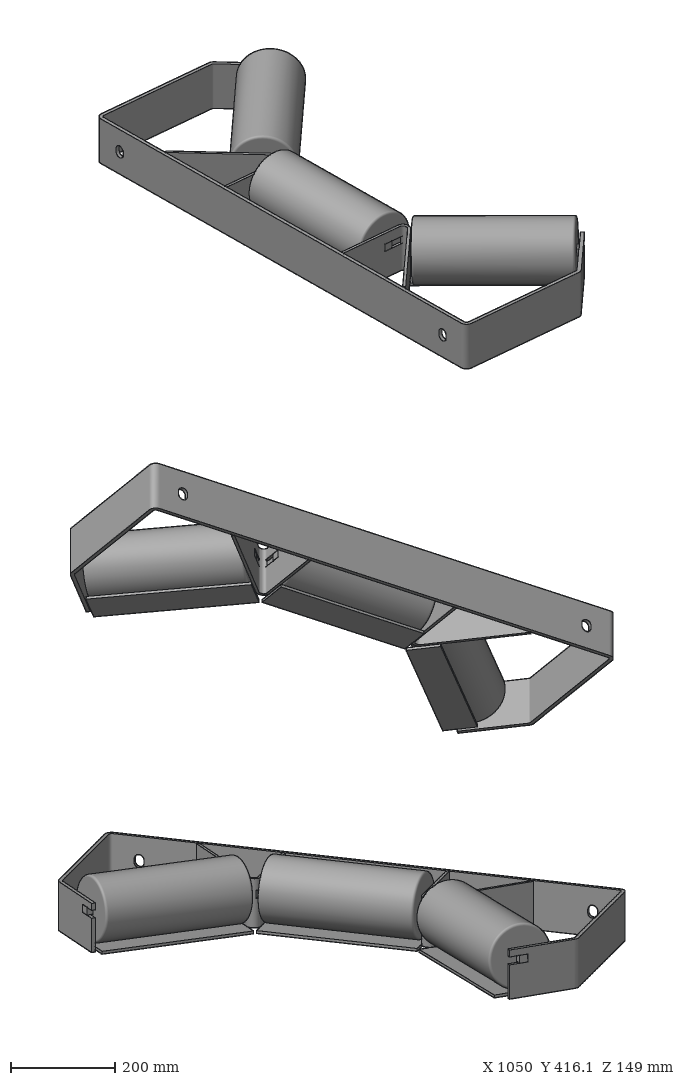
import cadquery as cq
import math

frame_length = 1050.0
bar_height = 100.0
frame_thickness = 8.0
frame_bend_radius = 10.0
frame_side_height = 298.5
flange_reach = 103.0
hole_x = 458.0
hole_width = 20.0
hole_height = 26.0

roller_diameter = 133.0
roller_length = 315.0
roller_end_radius = 5.0
end_clearance = 5.0
half_span = roller_length / 2 + end_clearance
journal_width = 18.0
journal_height = 16.0
seat_cutter_depth = 100.0
centre_roller_y = 125.0
side_roller_x = 322.5
side_roller_y = 259.8
trough_angle = 45.0
side_tilt_angle = 1.71
inner_axis_z = 68.0
side_roller_z = inner_axis_z + roller_length / 2 * math.sin(math.radians(side_tilt_angle))

bracket_thickness = 6.0
bracket_bend_radius = 10.0
bracket_top_y = 168.5

plate_end_gap = 0.25
plate_length = 2 * (half_span - plate_end_gap)
plate_width = 68.0
plate_front_overhang = 10.0
plate_thickness = 6.0
plate_gap = 0.65

LEFT = -1
RIGHT = 1
SIDES = (LEFT, RIGHT)
diagonal = math.cos(math.radians(trough_angle))


def place_centre(shape):
    """Move a shape built along X about the origin onto the axis of the centre roller."""
    return shape.translate((0, centre_roller_y, inner_axis_z))


def place_side(shape, side):
    """Move a shape built along X about the origin onto the axis of a side roller."""
    tilted = shape.rotate((0, 0, 0), (0, 1, 0), -side * side_tilt_angle)
    troughed = tilted.rotate((0, 0, 0), (0, 0, 1), side * trough_angle)
    return troughed.translate((side * side_roller_x, side_roller_y, side_roller_z))


def make_strip(bend_points, thickness, bend_radius):
    """A flat bar on edge, resting on Z = 0, whose centreline follows the bend points, with rounded bends."""
    corners = [cq.Vector(*point) for point in bend_points]
    wire = cq.Wire.makePolygon(corners)
    path = wire.fillet(bend_radius, wire.Vertices()[1:-1])
    start_plane = cq.Plane(corners[0], xDir=(0, 0, 1), normal=corners[1] - corners[0])
    profile = cq.Workplane(start_plane).center(bar_height / 2, 0).rect(bar_height, thickness)
    return profile.sweep(cq.Workplane(path))


def make_journal(half_length):
    """A rectangular shaft along X through the roller centre."""
    return cq.Workplane("XY").box(2 * half_length, journal_width, journal_height)


def make_seat_cutter(half_length):
    """The cutter for journal seats that are open towards +Y."""
    seat = cq.Workplane("XY").box(2 * half_length, seat_cutter_depth, journal_height)
    return seat.translate((0, (seat_cutter_depth - journal_width) / 2, 0))


def make_frame():
    inset = frame_thickness / 2
    half_length = frame_length / 2
    bend_x = half_length - inset
    bend_y = frame_side_height - inset * math.tan(math.radians(trough_angle / 2))
    tip_x = half_length - flange_reach - inset * diagonal
    tip_y = frame_side_height + flange_reach - inset * diagonal
    right_half = [(bend_x, inset), (bend_x, bend_y), (tip_x, tip_y)]
    left_half = [(-x, y) for x, y in reversed(right_half)]
    frame = make_strip(left_half + right_half, frame_thickness, frame_bend_radius)
    holes = (
        cq.Workplane("XZ")
        .pushPoints([(side * hole_x, bar_height / 2) for side in SIDES])
        .slot2D(hole_height, hole_width, 90)
        .extrude(-2 * frame_thickness)
    )
    frame = frame.cut(holes)
    for side in SIDES:
        frame = frame.cut(place_side(make_seat_cutter(half_span + 2 * frame_thickness), side))
    return frame


def make_bracket(side):
    inset = bracket_thickness / 2
    post_x = half_span + inset
    top_y = bracket_top_y - inset
    leg_sum = side_roller_x + side_roller_y - (half_span + inset) / diagonal
    foot_y = frame_thickness + inset * diagonal
    bend_points = [
        (side * post_x, frame_thickness),
        (side * post_x, top_y),
        (side * (leg_sum - top_y), top_y),
        (side * (leg_sum - foot_y), foot_y),
    ]
    bracket = make_strip(bend_points, bracket_thickness, bracket_bend_radius)
    seat_half_length = half_span + bracket_thickness
    bracket = bracket.cut(place_centre(make_seat_cutter(seat_half_length)))
    return bracket.cut(place_side(make_seat_cutter(seat_half_length), side))


def make_roller(inner_reach, outer_reach):
    """A roller along X with journals, running from -inner_reach to +outer_reach."""
    drum = (
        cq.Workplane("YZ")
        .circle(roller_diameter / 2)
        .extrude(roller_length)
        .translate((-roller_length / 2, 0, 0))
        .edges("%CIRCLE")
        .fillet(roller_end_radius)
    )
    journal_centre = (outer_reach - inner_reach) / 2
    return drum.union(make_journal((inner_reach + outer_reach) / 2).translate((journal_centre, 0, 0)))


def make_plate():
    """A guard plate along X, placed below a roller whose axis runs through the origin."""
    top = -roller_diameter / 2 - plate_gap
    plate = cq.Workplane("XY").box(plate_length, plate_width, plate_thickness)
    return plate.translate((0, plate_width / 2 - plate_front_overhang, top - plate_thickness / 2))


def make_side_plate(side):
    """A guard plate shifted along its tilted roller to stay between the upright supports."""
    drop = roller_diameter / 2 + plate_gap + plate_thickness / 2
    shift = drop * math.tan(math.radians(side_tilt_angle))
    return place_side(make_plate().translate((-side * shift, 0, 0)), side)


frame = make_frame()
brackets = [make_bracket(side) for side in SIDES]

bracket_reach = half_span + bracket_thickness
frame_reach = half_span + frame_thickness
centre_roller = place_centre(make_roller(bracket_reach, bracket_reach))
left_roller = place_side(make_roller(frame_reach, bracket_reach), LEFT)
right_roller = place_side(make_roller(bracket_reach, frame_reach), RIGHT)

centre_plate = place_centre(make_plate())
side_plates = [make_side_plate(side) for side in SIDES]

bodies = [frame, *brackets, centre_roller, left_roller, right_roller, centre_plate, *side_plates]
result = cq.Compound.makeCompound([body.solids().val() for body in bodies])